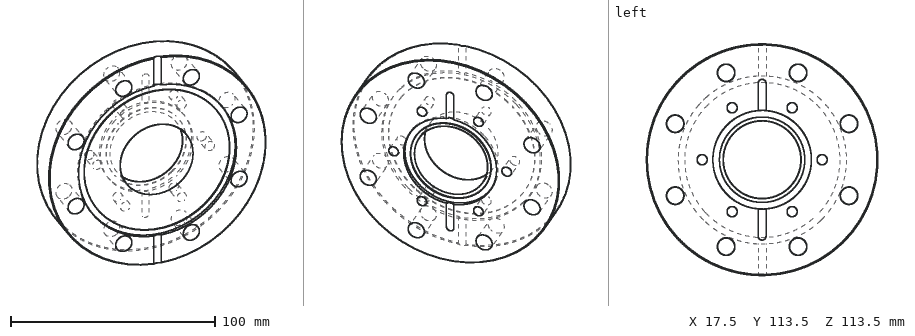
import cadquery as cq
import math

thickness = 17.5
outer_diameter = 113.5
rim_chamfer = 0.5
bore_diameter = 38.0

small_recess_diameter = 48.4
small_knife_diameter = 41.9
large_recess_diameter = 82.5
seal_ring_width = (small_recess_diameter - small_knife_diameter) / 2
large_knife_diameter = large_recess_diameter - 2 * seal_ring_width
knife_depth = 0.7
knife_slope_degrees = 20
recess_depth = knife_depth + seal_ring_width * math.tan(math.radians(knife_slope_degrees))
inner_floor_depth = 1.2

bolt_count = 8
bolt_hole_diameter = 8.4
bolt_circle_diameter = 92.2

blind_count = 6
blind_hole_diameter = 5.0
blind_circle_diameter = 58.8
blind_depth = 11.4
drill_point_angle = 118

groove_width = 3.9
groove_overlap = 0.6
groove_depth = 1.0
groove_radius = ((groove_width / 2) ** 2 + groove_depth**2) / (2 * groove_depth)
small_groove_end_radius = 39.4

front_x = -thickness / 2
back_x = thickness / 2


def polar_points(count, circle_diameter, start_degrees):
    """(Y, Z) positions evenly spaced on a circle."""
    angles = [math.radians(start_degrees + i * 360 / count) for i in range(count)]
    radius = circle_diameter / 2
    return [(radius * math.cos(a), radius * math.sin(a)) for a in angles]


def seal_recess(face_x, inward, recess_diameter, knife_diameter):
    """Recess revolved about X; inward is the X direction into the disc."""
    floor_x = face_x + inward * inner_floor_depth
    knife_x = face_x + inward * knife_depth
    recess_x = face_x + inward * recess_depth
    profile = [
        (face_x, 0),
        (floor_x, 0),
        (floor_x, knife_diameter / 2),
        (knife_x, knife_diameter / 2),
        (recess_x, recess_diameter / 2),
        (face_x, recess_diameter / 2),
    ]
    return cq.Workplane("XY").polyline(profile).close().revolve(360, (0, 0), (1, 0))


def blind_hole(y, z):
    """Drilled hole entering the front face."""
    radius = blind_hole_diameter / 2
    point_length = radius / math.tan(math.radians(drill_point_angle / 2))
    profile = [(0, 0), (0, radius), (blind_depth, radius), (blind_depth + point_length, 0)]
    hole = cq.Workplane("XY").polyline(profile).close().revolve(360, (0, 0), (1, 0))
    return hole.translate((front_x, y, z))


def radial_groove(axis_x, start, end, side):
    """Round groove along Z; side is +1 for the upper groove, -1 for the lower."""
    groove = cq.Workplane("XY").circle(groove_radius).extrude(side * (end - start))
    return groove.translate((axis_x, 0, side * start))


disc = cq.Workplane("YZ").circle(outer_diameter / 2).extrude(thickness)
disc = disc.translate((front_x, 0, 0)).edges().chamfer(rim_chamfer)

bore = cq.Workplane("YZ").circle(bore_diameter / 2).extrude(thickness / 2, both=True)
result = disc.cut(bore)
result = result.cut(seal_recess(front_x, 1, small_recess_diameter, small_knife_diameter))
result = result.cut(seal_recess(back_x, -1, large_recess_diameter, large_knife_diameter))

bolt_points = polar_points(bolt_count, bolt_circle_diameter, 180 / bolt_count)
bolt_holes = cq.Workplane("YZ").pushPoints(bolt_points).circle(bolt_hole_diameter / 2)
result = result.cut(bolt_holes.extrude(thickness / 2, both=True))

for y, z in polar_points(blind_count, blind_circle_diameter, 0):
    result = result.cut(blind_hole(y, z))

small_groove_x = front_x + groove_depth - groove_radius
large_groove_x = back_x - groove_depth + groove_radius
small_groove_start = small_recess_diameter / 2 - groove_overlap
large_groove_start = large_recess_diameter / 2 - groove_overlap
ball_center_z = small_groove_end_radius - groove_width / 2

for side in (1, -1):
    small_groove = radial_groove(small_groove_x, small_groove_start, ball_center_z, side)
    ball = cq.Workplane("XY").sphere(groove_radius)
    ball = ball.translate((small_groove_x, 0, side * ball_center_z))
    large_groove = radial_groove(large_groove_x, large_groove_start, outer_diameter / 2, side)
    result = result.cut(small_groove).cut(ball).cut(large_groove)